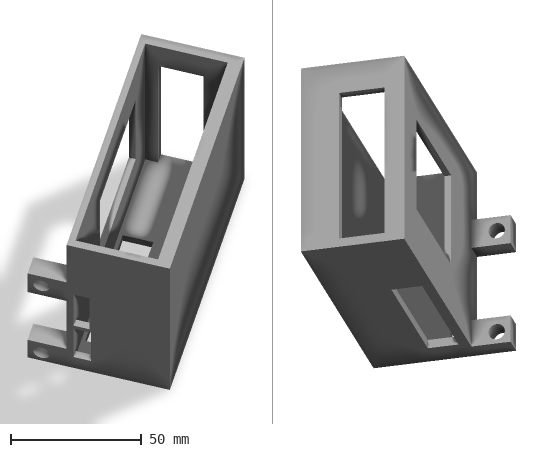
import cadquery as cq

case_width = 41.0
case_length = 104.0
case_height = 78.0
left_wall = 2.7
right_wall = 5.5
front_wall = 3.0
back_wall = 4.0
floor = 3.5

lug_reach = 15.5
lug_depth = 8.0
lower_lug_span = (0.0, 11.2)
upper_lug_span = (42.0, 54.0)
lug_hole_diameter = 6.5
lug_hole_inset = 5.5
lug_hole_heights = (5.0, 48.0)

front_slot_left = left_wall
card_slot_width = 6.3
card_slot_span = (27.1, 47.1)
power_slot_width = 7.1
power_slot_span = (7.0, 25.3)

window_y_span = (37.0, 86.8)
window_z_span = (21.0, 59.1)

back_opening_x_span = (7.8, 25.8)
back_opening_top = 65.5

floor_slot_x_span = (4.3, 16.4)
floor_slot_y_span = (11.0, 63.1)


def block(x_span, y_span, z_span):
    """Axis-aligned block between the given (low, high) limits."""
    spans = (x_span, y_span, z_span)
    size = [high - low for low, high in spans]
    corner = tuple(low for low, high in spans)
    return cq.Workplane("XY").box(*size, centered=False).translate(corner)


def lug(z_span, hole_height):
    """Lug on the left wall with a round hole along Y."""
    hole_x = lug_hole_inset - lug_reach
    hole = (
        cq.Workplane("XZ", origin=(hole_x, 0, hole_height))
        .circle(lug_hole_diameter / 2)
        .extrude(-lug_depth)
    )
    return block((-lug_reach, 0), (0, lug_depth), z_span).cut(hole)


def front_slot(width, z_span):
    """Cutter for a rectangular slot through the front wall."""
    return block((front_slot_left, front_slot_left + width), (0, front_wall), z_span)


case = block((0, case_width), (0, case_length), (0, case_height))
cavity = block(
    (left_wall, case_width - right_wall),
    (front_wall, case_length - back_wall),
    (floor, case_height),
)
window = block((0, left_wall), window_y_span, window_z_span)
back_opening = block(
    back_opening_x_span,
    (case_length - back_wall, case_length),
    (floor, back_opening_top),
)
floor_slot = block(floor_slot_x_span, floor_slot_y_span, (0, floor))

result = (
    case.cut(cavity)
    .cut(front_slot(card_slot_width, card_slot_span))
    .cut(front_slot(power_slot_width, power_slot_span))
    .cut(window)
    .cut(back_opening)
    .cut(floor_slot)
)
for z_span, hole_height in zip((lower_lug_span, upper_lug_span), lug_hole_heights):
    result = result.union(lug(z_span, hole_height))